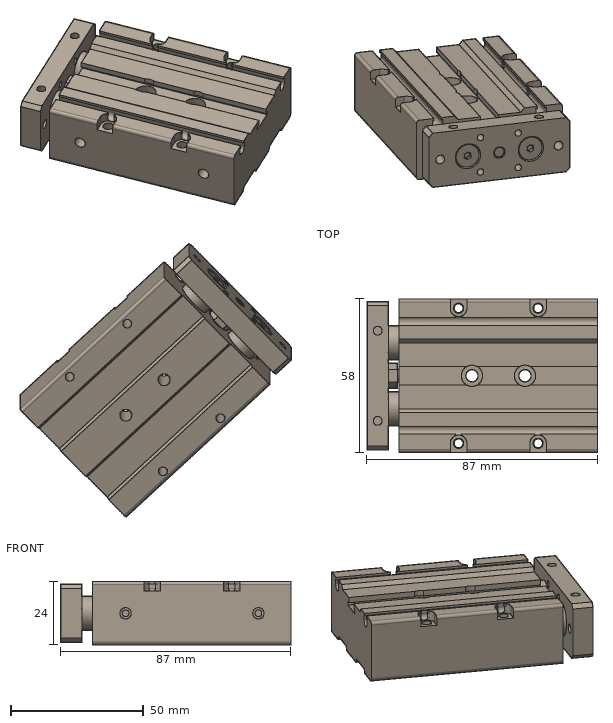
import cadquery as cq

overall_length = 87.0
plate_thickness = 8.0
plate_gap = 4.0
housing_front = plate_thickness + plate_gap
housing_length = overall_length - housing_front
rod_spacing = 25.0

housing_width = 58.0
housing_height = 24.0
housing_corner_radius = 1.2
housing_top = housing_height / 2
housing_bottom = -housing_height / 2

channel_depth = 1.6
top_channel_slope_run = 1.5
bottom_channel_slope_run = 0.9
top_channel_width = 27.8
bottom_channel_width = 12.7
bottom_channel_y = 13.05

center_slot_width = 7.1
center_slot_inner_width = 9.6
center_slot_lip_bottom = housing_top - channel_depth - 2.1
center_slot_floor = center_slot_lip_bottom - 1.4

sensor_slot_y = 20.5
sensor_slot_mouth = 3.0
sensor_slot_inner_width = 4.2
sensor_slot_lip = 1.0
sensor_slot_round_depth = 2.7

center_hole_x = (39.6, 59.6)
center_hole_diameter = 4.5
center_counterbore_diameter = 8.0
center_counterbore_depth = 4.35

side_hole_x = (34.5, 64.55)
side_hole_y = 25.5
side_hole_diameter = 3.3
side_hole_entry_diameter = 3.8
side_hole_entry_depth = 5.0
side_pocket_width = 6.3
side_pocket_depth = 3.65
pocket_notch_width = 2.35

port_x = (24.5, 74.65)
port_diameter = 4.3
port_depth = 5.0
port_passage_diameter = 2.5
port_passage_depth = 8.0

plate_width = 56.0
plate_height = 21.9
plate_chamfer = 1.6
plate_top_hole_spacing = 34.0
plate_top_hole_diameter = 3.3
plate_top_hole_depth = 5.0
plate_side_hole_spacing = 47.0
plate_side_hole_diameter = 3.5
small_hole_spacing_y = 15.0
small_hole_spacing_z = 13.9
small_hole_diameter = 2.5
rod_diameter = 13.0
rod_recess_diameter = 10.0
rod_recess_chamfer = 0.4
hex_socket_corners = 3.0
hex_socket_depth = 1.7
nut_corners = 9.6
nut_length = 3.4
piston_rod_diameter = 5.0
stud_recess_diameter = 4.5
stud_recess_chamfer = 0.35
recess_taper = 45


def bar_along_x(profile, x_start, length):
    """Extrude a YZ profile toward +X from x_start."""
    return profile.extrude(length).translate((x_start, 0, 0))


def yz_plane():
    return cq.Workplane("YZ")


def drill_down(x, y, z_top, diameter, depth):
    return cq.Workplane("XY", origin=(x, y, z_top)).circle(diameter / 2).extrude(-depth)


def drill_in_x(y, z, diameter, depth):
    return yz_plane().center(y, z).circle(diameter / 2).extrude(depth)


def channel(y, z_face, inward, width, slope_run):
    """Trapezoidal channel, widest at the face z_face; inward is -1 for down, 1 for up."""
    half_open = width / 2
    half_floor = half_open - slope_run
    z_floor = z_face + inward * channel_depth
    profile = yz_plane().polyline([
        (y - half_open, z_face),
        (y + half_open, z_face),
        (y + half_floor, z_floor),
        (y - half_floor, z_floor),
    ]).close()
    return bar_along_x(profile, housing_front, housing_length)


def center_slot():
    half_mouth = center_slot_width / 2
    half_inner = center_slot_inner_width / 2
    profile = yz_plane().polyline([
        (-half_mouth, housing_top),
        (half_mouth, housing_top),
        (half_mouth, center_slot_lip_bottom),
        (half_inner, center_slot_lip_bottom),
        (half_inner, center_slot_floor),
        (-half_inner, center_slot_floor),
        (-half_inner, center_slot_lip_bottom),
        (-half_mouth, center_slot_lip_bottom),
    ]).close()
    return bar_along_x(profile, housing_front, housing_length)


def sensor_slot(y):
    half_mouth = sensor_slot_mouth / 2
    half_inner = sensor_slot_inner_width / 2
    z_lip = housing_top - sensor_slot_lip
    z_round = housing_top - sensor_slot_round_depth
    profile = (
        yz_plane()
        .moveTo(y - half_mouth, housing_top)
        .lineTo(y + half_mouth, housing_top)
        .lineTo(y + half_mouth, z_lip)
        .lineTo(y + half_inner, z_lip)
        .lineTo(y + half_inner, z_round)
        .threePointArc((y, z_round - half_inner), (y - half_inner, z_round))
        .lineTo(y - half_inner, z_lip)
        .lineTo(y - half_mouth, z_lip)
        .close()
    )
    return bar_along_x(profile, housing_front, housing_length)


def center_hole(x):
    through = drill_down(x, 0, housing_top, center_hole_diameter, housing_height)
    depth = housing_top - center_slot_floor + center_counterbore_depth
    return through.union(drill_down(x, 0, housing_top, center_counterbore_diameter, depth))


def side_hole(x, side):
    """Hole with a pocket open to the side (+1 for +Y, -1 for -Y) and a notch into the sensor slot."""
    y = side * side_hole_y
    pocket_floor = housing_top - side_pocket_depth
    run_out = housing_width / 2 - side_hole_y
    notch_length = side_hole_y - sensor_slot_y
    through = drill_down(x, y, housing_top, side_hole_diameter, housing_height)
    entry = drill_down(x, y, pocket_floor, side_hole_entry_diameter, side_hole_entry_depth)
    pocket_end = drill_down(x, y, housing_top, side_pocket_width, side_pocket_depth)
    pocket_run = (
        cq.Workplane("XY", origin=(x, y + side * run_out / 2, housing_top))
        .rect(side_pocket_width, run_out)
        .extrude(-side_pocket_depth)
    )
    notch = (
        cq.Workplane("XY", origin=(x, y - side * notch_length / 2, housing_top))
        .rect(pocket_notch_width, notch_length)
        .extrude(-sensor_slot_round_depth)
    )
    return through.union(entry).union(pocket_end).union(pocket_run).union(notch)


def port(x):
    face = cq.Workplane("XZ", origin=(x, -housing_width / 2, 0))
    bore = face.circle(port_diameter / 2).extrude(-port_depth)
    return bore.union(face.circle(port_passage_diameter / 2).extrude(-port_passage_depth))


def make_housing():
    outline = yz_plane().rect(housing_width, housing_height)
    body = bar_along_x(outline, housing_front, housing_length).edges("|X").fillet(housing_corner_radius)
    body = body.cut(channel(0, housing_top, -1, top_channel_width, top_channel_slope_run))
    body = body.cut(center_slot())
    for side in (-1, 1):
        body = body.cut(channel(
            side * bottom_channel_y, housing_bottom, 1, bottom_channel_width, bottom_channel_slope_run))
        body = body.cut(sensor_slot(side * sensor_slot_y))
        for x in side_hole_x:
            body = body.cut(side_hole(x, side))
    for x in center_hole_x:
        body = body.cut(center_hole(x))
    for x in port_x:
        body = body.cut(port(x))
    return body


def chamfered_recess(y, diameter, chamfer):
    """Shallow conical recess in the plate face; its floor is narrower by the chamfer."""
    return yz_plane().center(y, 0).circle(diameter / 2).extrude(chamfer, taper=recess_taper)


def hexagon_bar(corners, x_start, length):
    """Hexagonal bar on the X axis with two corners pointing along Y."""
    return bar_along_x(yz_plane().polygon(6, corners), x_start, length)


def make_rod_assembly():
    body = yz_plane().rect(plate_width, plate_height).extrude(plate_thickness)
    body = body.edges("|X").chamfer(plate_chamfer)
    body = body.union(hexagon_bar(nut_corners, plate_thickness, nut_length))
    body = body.union(drill_in_x(0, 0, piston_rod_diameter, plate_gap).translate((plate_thickness, 0, 0)))
    body = body.cut(chamfered_recess(0, stud_recess_diameter, stud_recess_chamfer))
    for side in (-1, 1):
        rod_y = side * rod_spacing / 2
        rod = drill_in_x(rod_y, 0, rod_diameter, plate_gap).translate((plate_thickness, 0, 0))
        body = body.union(rod)
        body = body.cut(chamfered_recess(rod_y, rod_recess_diameter, rod_recess_chamfer))
        socket = hexagon_bar(hex_socket_corners, rod_recess_chamfer, hex_socket_depth)
        body = body.cut(socket.rotate((0, 0, 0), (1, 0, 0), 90).translate((0, rod_y, 0)))
        side_hole_center = side * plate_side_hole_spacing / 2
        body = body.cut(drill_in_x(side_hole_center, 0, plate_side_hole_diameter, plate_thickness))
        body = body.cut(drill_down(
            plate_thickness / 2, side * plate_top_hole_spacing / 2, plate_height / 2,
            plate_top_hole_diameter, plate_top_hole_depth))
        for level in (-1, 1):
            body = body.cut(drill_in_x(
                side * small_hole_spacing_y / 2, level * small_hole_spacing_z / 2,
                small_hole_diameter, plate_thickness))
    return body


housing = make_housing()
rod_assembly = make_rod_assembly()

result = cq.Compound.makeCompound([housing.val(), rod_assembly.val()])